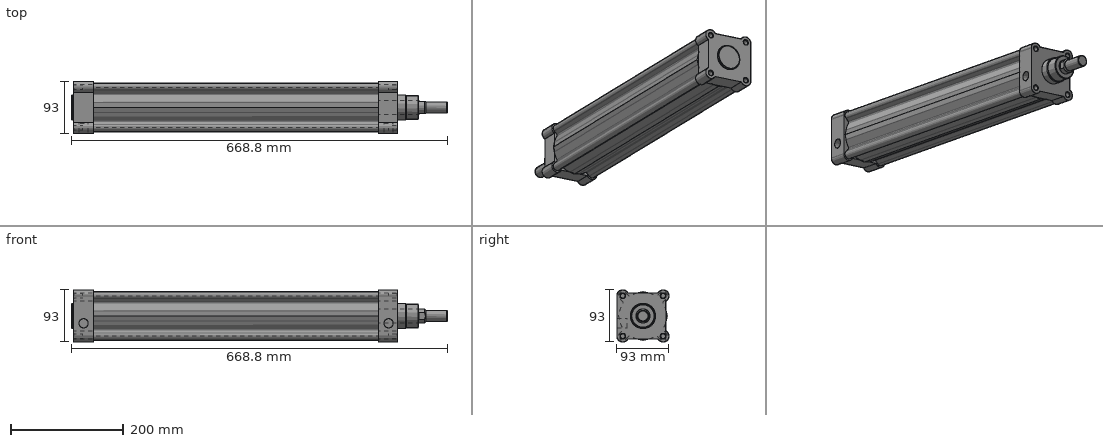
import cadquery as cq
import math


total_length = 668.8
thread_length = 38.0
rod_projection = 50.5
covers_length = 577.0
rear_cover_length = 36.0
front_cover_length = 34.0
rear_boss_length = total_length - covers_length - rod_projection - thread_length
barrel_length = covers_length - rear_cover_length - front_cover_length
front_cover_start = rear_cover_length + barrel_length

cover_size = 93.0
screw_spacing = 72.0
corner_pos = screw_spacing / 2
cover_lobe_radius = cover_size / 2 - corner_pos
cover_flat = 41.0
screw_hole_diameter = 8.5
screw_countersink = 1.0
screw_hole_depth = 16.0

port_diameter = 16.5
port_depth = 18.0
port_z = -13.0
rear_port_x = 18.0
front_port_x = covers_length - 16.0

boss_diameter = 45.0
boss_chamfer = 1.5
front_boss_length = 15.5
collar_diameter = 42.0
collar_end = 37.0
collar_chamfer = 1.0

barrel_lobe_radius = 7.5
barrel_arc_radius = 42.3
ridge_half_width = 9.0
valley_radius = 2.0

rod_diameter = 25.0
rod_across_flats = 22.0
flats_length = 12.0
thread_diameter = 20.0
shoulder_chamfer = (rod_diameter - thread_diameter) / 2
thread_chamfer = 1.0


def axial_plane(x):
    """Plane across the axis: local x is Y, local y is Z, and extrusion runs toward +X."""
    return cq.Workplane("YZ", origin=(x, 0, 0))


def disc(x, diameter, length):
    return axial_plane(x).circle(diameter / 2).extrude(length)


def corner_points():
    return [(y, z) for y in (-corner_pos, corner_pos) for z in (-corner_pos, corner_pos)]


def cover_block(x, length):
    """Cover with four round corner lobes and a full-width flat side toward -Y."""
    core = axial_plane(x).rect(2 * cover_flat, 2 * cover_flat).extrude(length)
    lobes = axial_plane(x).pushPoints(corner_points()).circle(cover_lobe_radius).extrude(length)
    port_side = (
        axial_plane(x)
        .center(-(cover_size / 2 + corner_pos) / 2, 0)
        .rect(cover_lobe_radius, screw_spacing)
        .extrude(length)
    )
    return core.union(lobes).union(port_side)


def cut_screw_holes(cover, face_x, direction):
    """Blind screw holes with a small countersink, running from the outer face into the cover."""
    holes = (
        axial_plane(face_x)
        .pushPoints(corner_points())
        .circle(screw_hole_diameter / 2)
        .extrude(direction * screw_hole_depth)
    )
    sinks = (
        axial_plane(face_x)
        .pushPoints(corner_points())
        .circle(screw_hole_diameter / 2 + screw_countersink)
        .extrude(direction * screw_countersink, taper=45)
    )
    return cover.cut(holes).cut(sinks)


def port(x):
    face = cq.Workplane("XZ", origin=(x, -cover_size / 2, port_z))
    return face.circle(port_diameter / 2).extrude(-port_depth)


def make_rear_cover():
    boss = disc(-rear_boss_length, boss_diameter, rear_boss_length).faces("<X").chamfer(boss_chamfer)
    cover = cover_block(0, rear_cover_length).union(boss).cut(port(rear_port_x))
    return cut_screw_holes(cover, 0, 1)


def make_front_cover():
    boss = disc(covers_length, boss_diameter, front_boss_length).faces(">X").chamfer(boss_chamfer)
    collar = disc(covers_length, collar_diameter, collar_end).faces(">X").chamfer(collar_chamfer)
    rod_bore = disc(front_cover_start, rod_diameter, front_cover_length + collar_end)
    cover = cover_block(front_cover_start, front_cover_length).union(boss).union(collar)
    cover = cover.cut(rod_bore).cut(port(front_port_x))
    return cut_screw_holes(cover, covers_length, -1)


def make_barrel():
    """Extruded profile: a round core with a shallow ridge on each side and four round corner lobes."""
    ridge_angle = math.asin(ridge_half_width / barrel_arc_radius)
    ridge_base = barrel_arc_radius * math.cos(ridge_angle)
    ridge_peak = barrel_arc_radius / math.cos(ridge_angle)
    ridge = (
        axial_plane(rear_cover_length)
        .polyline([
            (0, 0),
            (-ridge_half_width, ridge_base),
            (0, ridge_peak),
            (ridge_half_width, ridge_base),
        ])
        .close()
        .extrude(barrel_length)
    )
    lobe_reach = corner_pos * math.sqrt(2)
    lobe = (
        axial_plane(rear_cover_length)
        .moveTo(0, -barrel_lobe_radius)
        .lineTo(lobe_reach, -barrel_lobe_radius)
        .threePointArc((lobe_reach + barrel_lobe_radius, 0), (lobe_reach, barrel_lobe_radius))
        .lineTo(0, barrel_lobe_radius)
        .close()
        .extrude(barrel_length)
    )
    barrel = disc(rear_cover_length, 2 * barrel_arc_radius, barrel_length)
    for quarter in range(4):
        turn = 90 * quarter
        barrel = barrel.union(lobe.rotate((0, 0, 0), (1, 0, 0), turn + 45))
        barrel = barrel.union(ridge.rotate((0, 0, 0), (1, 0, 0), turn))

    flank_foot = math.sqrt(barrel_arc_radius**2 - barrel_lobe_radius**2)
    valley_near = (flank_foot - barrel_lobe_radius) / math.sqrt(2)
    valley_far = (flank_foot + barrel_lobe_radius) / math.sqrt(2)
    mid_x = rear_cover_length + barrel_length / 2
    for side_y in (-1, 1):
        for side_z in (-1, 1):
            for y, z in ((valley_near, valley_far), (valley_far, valley_near)):
                valley = cq.selectors.NearestToPointSelector((mid_x, side_y * y, side_z * z))
                barrel = barrel.edges("|X").edges(valley).fillet(valley_radius)
    return barrel


def make_rod():
    """Rod running from the barrel through the front cover, with wrench flats and a stud end."""
    shoulder_x = covers_length + rod_projection
    shaft = disc(front_cover_start, rod_diameter, shoulder_x - front_cover_start)
    shaft = shaft.faces(">X").chamfer(shoulder_chamfer)
    flats_start = shoulder_x - flats_length
    flats_zone = axial_plane(flats_start).rect(2 * rod_diameter, 2 * rod_diameter).extrude(flats_length)
    between_flats = axial_plane(flats_start).rect(rod_across_flats, 2 * rod_diameter).extrude(flats_length)
    stud = disc(shoulder_x, thread_diameter, thread_length).faces(">X").chamfer(thread_chamfer)
    return shaft.cut(flats_zone.cut(between_flats)).union(stud)


rear_cover = make_rear_cover()
barrel = make_barrel()
front_cover = make_front_cover()
rod = make_rod()

bodies = (rear_cover, barrel, front_cover, rod)
result = cq.Compound.makeCompound([body.solids().val() for body in bodies])